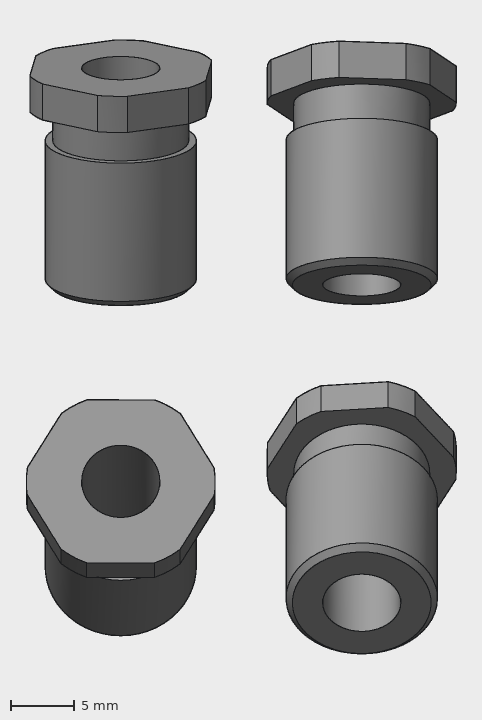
import cadquery as cq
import math

total_height = 18.0
head_height = 3.0
neck_height = 3.0
head_diameter = 15.0
head_across_flats = 14.0
neck_diameter = 10.8
body_diameter = 12.0
body_chamfer = 0.5
bore_diameter = 6.2

body_height = total_height - head_height - neck_height
head_base = body_height + neck_height


def make_body():
    """Cylindrical body standing on Z = 0, chamfered at its lower rim."""
    body = cq.Workplane("XY").circle(body_diameter / 2).extrude(body_height)
    return body.faces("<Z").edges().chamfer(body_chamfer)


def make_neck():
    """Relief neck between body and head."""
    return cq.Workplane("XY").workplane(offset=body_height).circle(neck_diameter / 2).extrude(neck_height)


def make_head():
    """Hexagon with flats facing +X and -X, its corners rounded by a turned disc."""
    across_corners = head_across_flats / math.cos(math.radians(30))
    plane = cq.Workplane("XY").workplane(offset=head_base)
    hexagon = plane.transformed(rotate=(0, 0, 30)).polygon(6, across_corners).extrude(head_height)
    disc = plane.circle(head_diameter / 2).extrude(head_height)
    return hexagon.intersect(disc)


bore = cq.Workplane("XY").circle(bore_diameter / 2).extrude(total_height)

result = make_body().union(make_neck()).union(make_head()).cut(bore)